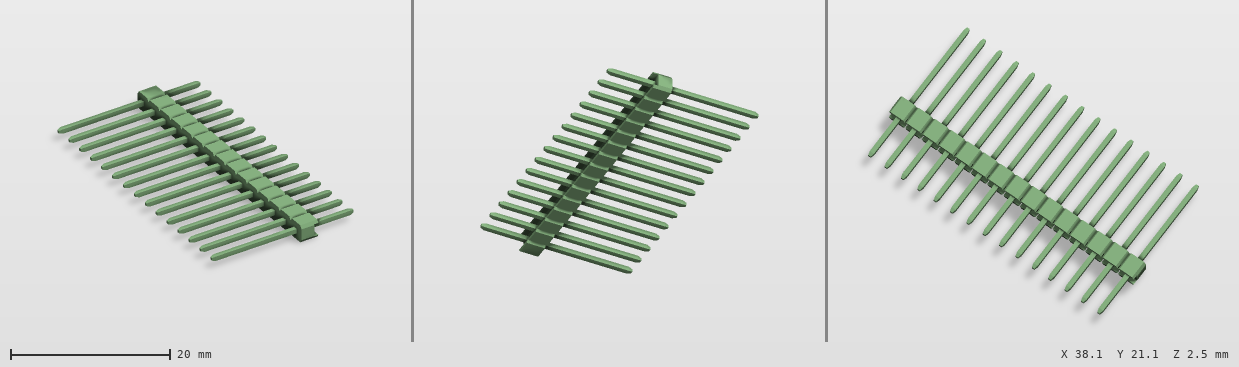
import cadquery as cq


pin_count = 15
row_length = 38.1
pitch = row_length / pin_count

housing_height = 2.5
housing_front = 2.02
housing_depth = 2.55
housing_back = housing_front + housing_depth
bevel_width = 0.3
bevel_height = 0.45

recess_depth = 0.65
lip_thickness = 0.4

pin_length = 21.1
pin_width = 0.65
tip_width = 0.4
tip_length = 0.55
pin_offset = -0.1

segment_centers = [(i - (pin_count - 1) / 2) * pitch for i in range(pin_count)]


def xz_plane(y):
    """Plane facing +Y at the given Y position."""
    return cq.Workplane(cq.Plane(origin=(0, y, 0), xDir=(1, 0, 0), normal=(0, 1, 0)))


def make_segment(center_x):
    """One housing segment: a block with its four long edges beveled."""
    side = pitch / 2
    top = housing_height / 2
    flat = side - bevel_width
    shoulder = top - bevel_height
    outline = [
        (-side, -shoulder),
        (-flat, -top),
        (flat, -top),
        (side, -shoulder),
        (side, shoulder),
        (flat, top),
        (-flat, top),
        (-side, shoulder),
    ]
    segment = xz_plane(housing_front).polyline(outline).close().extrude(housing_depth)
    return segment.translate((center_x, 0, 0))


def make_housing():
    """Row of joined segments with the recess cut along the back."""
    housing = make_segment(segment_centers[0])
    for center_x in segment_centers[1:]:
        housing = housing.union(make_segment(center_x))
    recess = cq.Workplane("XY").box(
        row_length, recess_depth, housing_height - 2 * lip_thickness
    )
    return housing.cut(recess.translate((0, housing_back - recess_depth / 2, 0)))


def make_pin(center_x):
    """Square pin through the housing, with a tapered tip at each end."""
    shank_length = pin_length - 2 * tip_length
    shank = cq.Workplane("XY").box(pin_width, shank_length, pin_width)
    tip = (
        xz_plane(shank_length / 2)
        .rect(pin_width, pin_width)
        .workplane(offset=tip_length)
        .rect(tip_width, tip_width)
        .loft(ruled=True)
    )
    pin = shank.union(tip).union(tip.mirror("XZ"))
    return pin.translate((center_x + pin_offset, 0, 0))


result = make_housing()
for segment_x in segment_centers:
    result = result.union(make_pin(segment_x))